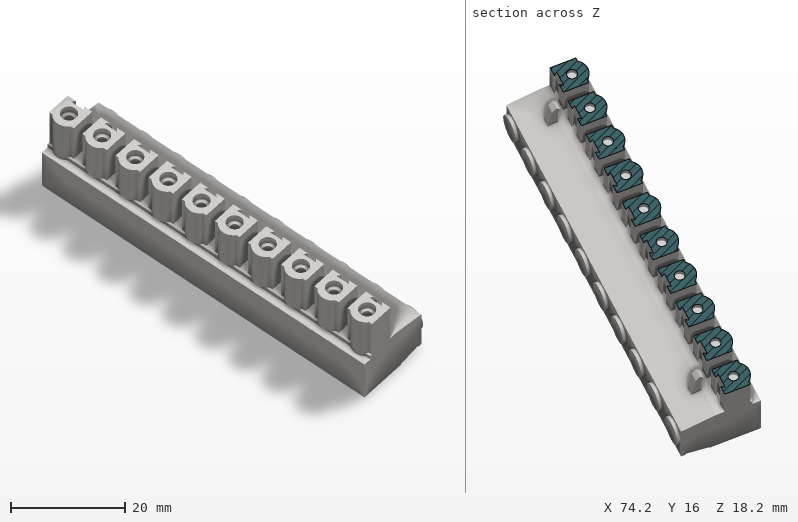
import cadquery as cq

LENGTH = 74.2
POLE_COUNT = 10
TOWER_WIDTH = 5.65
PITCH = (LENGTH - TOWER_WIDTH) / (POLE_COUNT - 1)
POLE_XS = [TOWER_WIDTH / 2 + i * PITCH for i in range(POLE_COUNT)]

BODY_DEPTH = 15.3
LEDGE_DEPTH = 1.55
LEDGE_Z = 9.0
DECK_Z = 9.9
DECK_END_Y = 8.5
REAR_TOP_Z = 8.75
REAR_BOTTOM_Z = 0.7
REAR_LIP_Y = 14.4
UNDERCUT_REAR_Z = 1.0
UNDERCUT_FRONT_Y = 9.9
UNDERCUT_FRONT_Z = 0.2

TOWER_TOP_Z = 18.2
TOWER_BACK_Y = 7.0
SHOULDER_Y = 2.0
SCREW_Y = 4.0
NOSE_TIP_Y = 1.0
NOSE_WIDTH = 4.2

GROOVE_DEPTH = 0.7
GROOVE_MOUTH_WIDTH = 1.85
GROOVE_FLOOR_WIDTH = 2.9

HOLE_DIAMETER = 3.2
HOLE_DEPTH = 1.55
BORE_DIAMETER = 1.85
BORE_DEPTH = 3.55

BOSS_RADIUS = 2.7
BOSS_Z = 5.35
BOSS_HEIGHT = 0.7

HOOK_WIDTH = 1.7
HOOK_XS = [POLE_XS[0] + PITCH / 2, POLE_XS[-1] - PITCH / 2]
HOOK_FRONT_Y = 8.75
HOOK_ROOT_Y = 10.8
HOOK_ROOT_Z = LEDGE_Z
HOOK_NECK_Z = 12.8
HOOK_BARB = (8.3, 13.65)
HOOK_PEAK = (9.05, 14.3)
HOOK_SHOULDER = (9.9, 13.5)


def make_body():
    """Housing: a YZ profile extruded along the whole length."""
    profile = [
        (0, 0),
        (0, LEDGE_Z),
        (LEDGE_DEPTH, LEDGE_Z),
        (LEDGE_DEPTH, DECK_Z),
        (DECK_END_Y, DECK_Z),
        (BODY_DEPTH, REAR_TOP_Z),
        (BODY_DEPTH, REAR_BOTTOM_Z),
        (REAR_LIP_Y, REAR_BOTTOM_Z),
        (REAR_LIP_Y, UNDERCUT_REAR_Z),
        (UNDERCUT_FRONT_Y, UNDERCUT_FRONT_Z),
        (UNDERCUT_FRONT_Y, 0),
    ]
    return cq.Workplane("YZ").polyline(profile).close().extrude(LENGTH)


def make_tower(x, base_z):
    """Tower with a rounded nose in front and a dovetail groove behind."""
    half = TOWER_WIDTH / 2
    nose_half = NOSE_WIDTH / 2
    mouth_half = GROOVE_MOUTH_WIDTH / 2
    floor_half = GROOVE_FLOOR_WIDTH / 2
    groove_y = TOWER_BACK_Y - GROOVE_DEPTH
    return (
        cq.Workplane("XY", origin=(x, 0, base_z))
        .moveTo(-nose_half, SHOULDER_Y)
        .threePointArc((0, NOSE_TIP_Y), (nose_half, SHOULDER_Y))
        .lineTo(half, SHOULDER_Y)
        .lineTo(half, TOWER_BACK_Y)
        .lineTo(mouth_half, TOWER_BACK_Y)
        .lineTo(floor_half, groove_y)
        .lineTo(-floor_half, groove_y)
        .lineTo(-mouth_half, TOWER_BACK_Y)
        .lineTo(-half, TOWER_BACK_Y)
        .lineTo(-half, SHOULDER_Y)
        .close()
        .extrude(TOWER_TOP_Z - base_z)
    )


def make_boss(x):
    """Round boss on the rear face, starting inside the body to fuse cleanly."""
    return (
        cq.Workplane("XZ", origin=(x, BODY_DEPTH - BOSS_HEIGHT, BOSS_Z))
        .circle(BOSS_RADIUS)
        .extrude(-2 * BOSS_HEIGHT)
    )


def make_hook(x):
    """Latch hook with a barb leaning towards the towers."""
    profile = [
        (HOOK_FRONT_Y, HOOK_ROOT_Z),
        (HOOK_FRONT_Y, HOOK_NECK_Z),
        HOOK_BARB,
        HOOK_PEAK,
        HOOK_SHOULDER,
        (HOOK_ROOT_Y, HOOK_ROOT_Z),
    ]
    return (
        cq.Workplane("YZ", origin=(x - HOOK_WIDTH / 2, 0, 0))
        .polyline(profile)
        .close()
        .extrude(HOOK_WIDTH)
    )


def make_screw_hole(x):
    """Wide screw hole with a narrower bore below it."""
    mouth = cq.Workplane("XY", origin=(x, SCREW_Y, TOWER_TOP_Z))
    hole = mouth.circle(HOLE_DIAMETER / 2).extrude(-HOLE_DEPTH)
    bore = mouth.circle(BORE_DIAMETER / 2).extrude(-BORE_DEPTH)
    return hole.union(bore)


result = make_body()
for pole_x in POLE_XS:
    is_end = pole_x in (POLE_XS[0], POLE_XS[-1])
    tower = make_tower(pole_x, LEDGE_Z if is_end else DECK_Z)
    result = result.union(tower).union(make_boss(pole_x))
    result = result.cut(make_screw_hole(pole_x))
for hook_x in HOOK_XS:
    result = result.union(make_hook(hook_x))